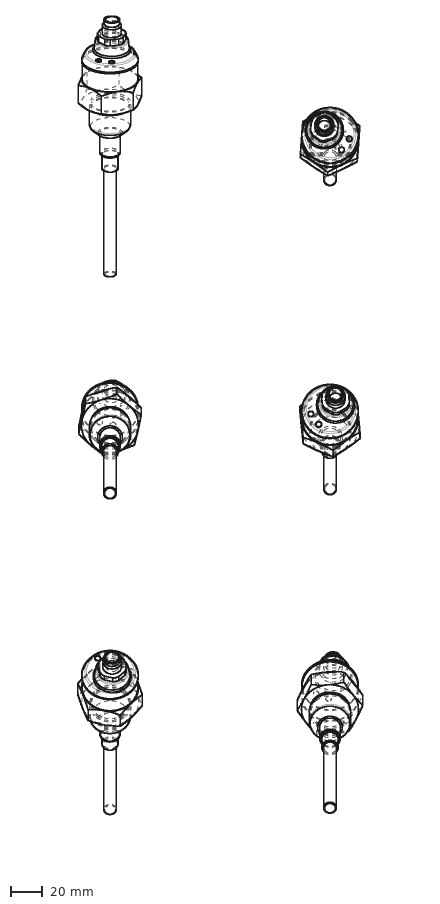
import cadquery as cq
import math

TIP_CHAMFER = 0.5
SLEEVE_BOTTOM = 75.0
SLEEVE_TOP = 85.1
TUBE_BOTTOM = 86.2
CONE_BOTTOM = 100.3
CONE_TOP = 104.7
THREAD_BOTTOM = 106.5
THREAD_TOP = 119.0
RELIEF_TOP = 121.1
HEX_BOTTOM = 122.0
HEX_TOP = 138.0
RIM_BOTTOM = 151.0
RIM_TOP = 152.1
CAP_TOP = 156.7
TOTAL_HEIGHT = 178.1

ROD_DIA = 8.0
SLEEVE_DIA = 10.3
SHOULDER_SMALL_DIA = 11.2
SHOULDER_LARGE_DIA = 12.0
TUBE_DIA = 13.0
CONE_SMALL_DIA = 15.7
CONE_LARGE_DIA = 25.1
RELIEF_DIA = 24.0
RELIEF_ROOT_DIA = 25.3
THREAD_DIA = 26.2
BODY_DIA = 35.0
RIM_DIA = 35.8
CAP_TOP_DIA = 31.5
CAP_EDGE_FILLET = 1.2

HEX_HALF_ANGLE = 30.0
HEX_ACROSS_FLATS = 36.0
HEX_CHAMFER_ANGLE = 33.0

CONNECTOR_OFFSET = 4.3
BOSS_ROOT = 153.2
BOSS_FLARE_TOP = 157.8
NUT_BOTTOM = 164.0
NUT_TOP = 168.3
COLLAR_TOP = 174.0
SOCKET_RING_BOTTOM = 175.3
BOSS_FOOT_DIA = 24.0
BOSS_BASE_DIA = 22.3
BOSS_TOP_DIA = 20.8
BOSS_EDGE_FILLET = 0.7
NUT_DIA = 18.0
NUT_ACROSS_FLATS = 17.1
NUT_TURN = -3.0
COLLAR_DIA = 12.1
SOCKET_RING_DIA = 10.0
SOCKET_BORE_DIA = 8.0

LAMP_DIA = 3.5
LAMP_DOME_HEIGHT = 0.5
LAMP_SPACING = 8.5
LAMP_Y = -11.8


def hexagon(across_flats, bottom, top):
    """Hexagonal prism with one pair of flats facing +X and -X."""
    corner_dia = across_flats / math.cos(math.radians(HEX_HALF_ANGLE))
    prism = cq.Workplane("XY").polygon(6, corner_dia).extrude(top - bottom)
    return prism.rotate((0, 0, 0), (0, 0, 1), HEX_HALF_ANGLE).translate((0, 0, bottom))


def probe_and_body():
    """Everything turned about the main axis, from the probe tip to the cap."""
    body_radius = BODY_DIA / 2
    profile = (
        cq.Workplane("XZ")
        .moveTo(0, 0)
        .lineTo(ROD_DIA / 2 - TIP_CHAMFER, 0)
        .lineTo(ROD_DIA / 2, TIP_CHAMFER)
        .lineTo(ROD_DIA / 2, SLEEVE_BOTTOM)
        .lineTo(SLEEVE_DIA / 2, SLEEVE_BOTTOM)
        .lineTo(SLEEVE_DIA / 2, SLEEVE_TOP)
        .lineTo(SHOULDER_SMALL_DIA / 2, SLEEVE_TOP)
        .lineTo(SHOULDER_LARGE_DIA / 2, TUBE_BOTTOM)
        .lineTo(TUBE_DIA / 2, TUBE_BOTTOM)
        .lineTo(TUBE_DIA / 2, CONE_BOTTOM)
        .lineTo(CONE_SMALL_DIA / 2, CONE_BOTTOM)
        .lineTo(CONE_LARGE_DIA / 2, CONE_TOP)
        .lineTo(THREAD_DIA / 2, THREAD_BOTTOM)
        .lineTo(THREAD_DIA / 2, THREAD_TOP)
        .lineTo(RELIEF_DIA / 2, THREAD_TOP)
        .lineTo(RELIEF_DIA / 2, RELIEF_TOP)
        .lineTo(RELIEF_ROOT_DIA / 2, HEX_BOTTOM)
        .lineTo(body_radius, HEX_BOTTOM)
        .lineTo(body_radius, RIM_BOTTOM)
        .lineTo(RIM_DIA / 2, RIM_BOTTOM)
        .lineTo(RIM_DIA / 2, RIM_TOP)
        .lineTo(CAP_TOP_DIA / 2, CAP_TOP)
        .lineTo(0, CAP_TOP)
        .close()
    )
    turned = profile.revolve(360, (0, 0, 0), (0, 1, 0))
    return turned.faces(">Z").edges().fillet(CAP_EDGE_FILLET)


def wrench_hexagon():
    """Hexagon with its corners turned down to a cone at both ends."""
    flat_radius = HEX_ACROSS_FLATS / 2
    corner_radius = flat_radius / math.cos(math.radians(HEX_HALF_ANGLE))
    drop = (corner_radius - flat_radius) * math.tan(math.radians(HEX_CHAMFER_ANGLE))
    envelope = (
        cq.Workplane("XZ")
        .moveTo(0, HEX_BOTTOM)
        .lineTo(flat_radius, HEX_BOTTOM)
        .lineTo(corner_radius, HEX_BOTTOM + drop)
        .lineTo(corner_radius, HEX_TOP - drop)
        .lineTo(flat_radius, HEX_TOP)
        .lineTo(0, HEX_TOP)
        .close()
        .revolve(360, (0, 0, 0), (0, 1, 0))
    )
    return hexagon(HEX_ACROSS_FLATS, HEX_BOTTOM, HEX_TOP).intersect(envelope)


def connector():
    """Tapered boss, nut, collar and socket ring, built about their own axis."""
    boss = (
        cq.Workplane("XZ")
        .moveTo(0, BOSS_ROOT)
        .lineTo(BOSS_FOOT_DIA / 2, BOSS_ROOT)
        .lineTo(BOSS_FOOT_DIA / 2, CAP_TOP)
        .lineTo(BOSS_BASE_DIA / 2, BOSS_FLARE_TOP)
        .lineTo(BOSS_TOP_DIA / 2, NUT_BOTTOM)
        .lineTo(0, NUT_BOTTOM)
        .close()
        .revolve(360, (0, 0, 0), (0, 1, 0))
        .faces(">Z")
        .edges()
        .fillet(BOSS_EDGE_FILLET)
    )
    nut_blank = cq.Workplane("XY", origin=(0, 0, NUT_BOTTOM))
    nut_blank = nut_blank.circle(NUT_DIA / 2).extrude(NUT_TOP - NUT_BOTTOM)
    nut_flats = hexagon(NUT_ACROSS_FLATS, NUT_BOTTOM, NUT_TOP).rotate((0, 0, 0), (0, 0, 1), NUT_TURN)
    socket = (
        cq.Workplane("XZ")
        .moveTo(0, NUT_TOP)
        .lineTo(COLLAR_DIA / 2, NUT_TOP)
        .lineTo(COLLAR_DIA / 2, COLLAR_TOP)
        .lineTo(SOCKET_RING_DIA / 2, SOCKET_RING_BOTTOM)
        .lineTo(SOCKET_RING_DIA / 2, TOTAL_HEIGHT)
        .lineTo(SOCKET_BORE_DIA / 2, TOTAL_HEIGHT)
        .lineTo(SOCKET_BORE_DIA / 2, NUT_TOP)
        .close()
        .revolve(360, (0, 0, 0), (0, 1, 0))
    )
    stack = boss.union(nut_blank.intersect(nut_flats)).union(socket)
    return stack.translate((0, CONNECTOR_OFFSET, 0))


def lamp_pocket(x):
    """Round pocket in the cap, as deep as its lamp is tall."""
    pocket = cq.Workplane("XY", origin=(x, LAMP_Y, CAP_TOP - LAMP_DOME_HEIGHT))
    return pocket.circle(LAMP_DIA / 2).extrude(LAMP_DOME_HEIGHT)


def lamp_dome(x):
    """Shallow dome that fills the pocket floor and reaches up to the cap top."""
    radius = LAMP_DIA / 2
    sphere_radius = (radius**2 + LAMP_DOME_HEIGHT**2) / (2 * LAMP_DOME_HEIGHT)
    sphere = cq.Workplane("XY").sphere(sphere_radius)
    sphere = sphere.translate((x, LAMP_Y, CAP_TOP - sphere_radius))
    column = cq.Workplane("XY", origin=(x, LAMP_Y, RIM_TOP)).circle(radius).extrude(CAP_TOP - RIM_TOP)
    return column.intersect(sphere)


result = probe_and_body().union(wrench_hexagon()).union(connector())
for side in (-1, 1):
    lamp_x = side * LAMP_SPACING / 2
    result = result.cut(lamp_pocket(lamp_x)).union(lamp_dome(lamp_x))